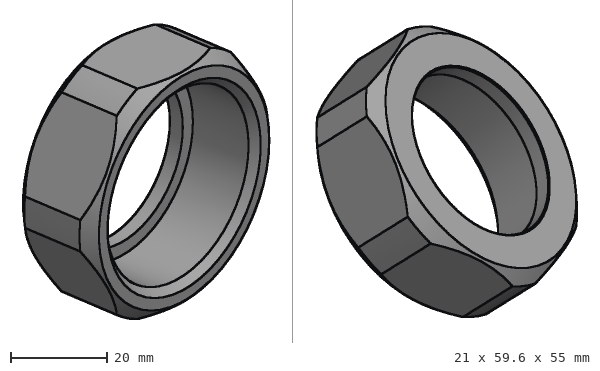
import cadquery as cq

width = 21.0
corner_diameter = 59.65
across_flats = 55.0
face_diameter = 53.95
sides = 6
turn_to_flat_top = 180 / sides

lip_diameter = 38.5
lip_length = 3.8
lip_chamfer = 0.25
bore_diameter = 44.9
bore_chamfer = 1.8

outer_chamfer = (corner_diameter - face_diameter) / 2


def rounded_blank():
    """Round blank with both rims chamfered at 45 degrees."""
    blank = cq.Workplane("YZ").circle(corner_diameter / 2).extrude(width)
    return blank.edges().chamfer(outer_chamfer)


def hexagon_prism():
    """Hexagon with one pair of flats facing up and down, corners on the Y axis."""
    prism = cq.Workplane("YZ").polygon(sides, across_flats, circumscribed=True).extrude(width)
    return prism.rotate((0, 0, 0), (1, 0, 0), turn_to_flat_top)


def bore_cutter():
    """Revolved cavity: chamfered lip, shoulder, wide bore and exit chamfer."""
    lip_radius = lip_diameter / 2
    bore_radius = bore_diameter / 2
    profile = [
        (0, 0),
        (0, lip_radius + lip_chamfer),
        (lip_chamfer, lip_radius),
        (lip_length, lip_radius),
        (lip_length, bore_radius),
        (width - bore_chamfer, bore_radius),
        (width, bore_radius + bore_chamfer),
        (width, 0),
    ]
    return cq.Workplane("XY").polyline(profile).close().revolve(360, (0, 0, 0), (1, 0, 0))


nut = rounded_blank().intersect(hexagon_prism()).cut(bore_cutter())
result = nut.translate((-width / 2, 0, 0))